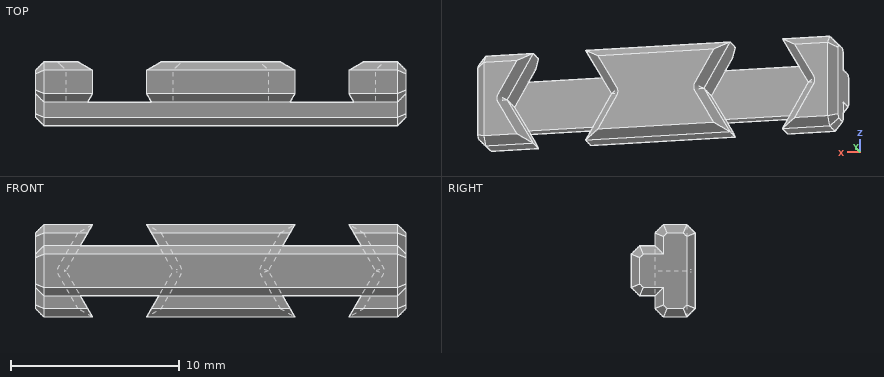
import cadquery as cq
import math

length = 22.0
depth = 3.8
height = 5.5
plate_thickness = 2.4
rail_height = 3.0
chamfer = 0.5
chamfer_angle = 45.0

gap_offset = 6.0
gap_mouth = 3.2
flank_angle = 30.0

front_y = -depth / 2
back_y = depth / 2
plate_front_y = back_y - plate_thickness


def box_between(y_start, y_end, box_height):
    """Full-length bar centred in X and Z."""
    width = y_end - y_start
    return cq.Workplane("XY").box(length, width, box_height).translate((0, (y_start + y_end) / 2, 0))


def chamfered_body():
    """T-section bar with its long outer corners and both end outlines chamfered."""
    plate = box_between(plate_front_y, back_y, height).edges("|X").chamfer(chamfer)
    rail = box_between(front_y, back_y - chamfer, rail_height).edges("|X and <Y").chamfer(chamfer)
    return plate.union(rail).faces("<X or >X").chamfer(chamfer)


def plate_gap(center_x):
    """Hexagonal cutter, widest at mid-height, passing through the plate and flaring at its back face."""
    half_mouth = gap_mouth / 2
    half_height = height / 2
    half_waist = half_mouth + half_height * math.tan(math.radians(flank_angle))
    outline = [
        (-half_mouth, half_height),
        (half_mouth, half_height),
        (half_waist, 0),
        (half_mouth, -half_height),
        (-half_mouth, -half_height),
        (-half_waist, 0),
    ]
    passage = cq.Workplane("XZ").polyline(outline).close().extrude(-plate_thickness)
    flare = (
        cq.Workplane("XZ", origin=(0, plate_thickness - chamfer, 0))
        .polyline(outline)
        .close()
        .extrude(-chamfer, taper=-chamfer_angle)
    )
    return passage.union(flare).translate((center_x, plate_front_y, 0))


result = chamfered_body()
for side in (-1, 1):
    result = result.cut(plate_gap(side * gap_offset))